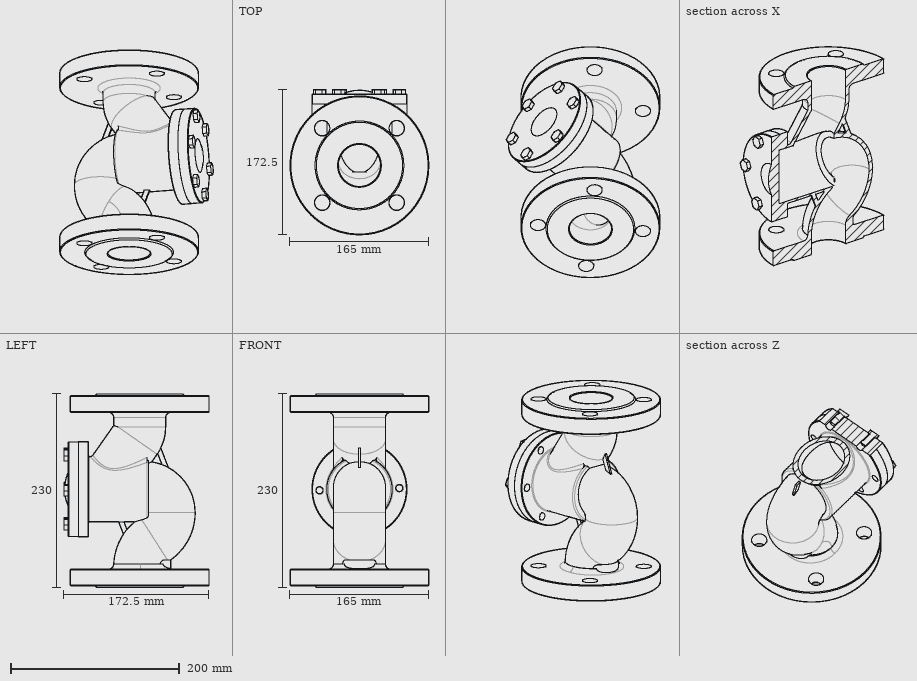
import cadquery as cq
import math


face_to_face = 230.0
flange_dia = 165.0
flange_thickness = 20.0
flange_chamfer = 1.0
raised_height = 2.0
raised_base_dia = 105.5
raised_top_dia = 102.5
pipe_hole_dia = 18.0
pipe_hole_circle = 125.0
flange_inner_z = face_to_face / 2 - raised_height - flange_thickness

pipe_radius = 31.0
bore_radius = 25.0
bore_mouth_chamfer = 1.0
base_fillet = 6.0

neck_end_z = 75.8
branch_angle = 35.0
branch_bend = 25.7
branch_length = 62.0
branch_bore_length = 75.0

chamber_z = 1.8
chamber_radius = 38.8
chamber_front_y = -10.2
chamber_front_fillet = 1.8
chamber_back_fillet = 1.0
branch_fillet = 3.8
cavity_radius = 35.0
cavity_front_y = -8.0

bonnet_back_y = 85.0
bonnet_joint_y = 72.75
bonnet_front_y = 60.5
bonnet_dia = 113.0
cover_dia = 112.75
bonnet_chamfer = 0.8
dome_radius = 20.0
dome_height = 4.4

bolt_count = 6
bolt_circle_radius = 47.4
bolt_turn = 1.6
bolt_dia = 8.0
bolt_hole_dia = 8.75
bolt_head_dia = 15.0
bolt_head_height = 5.0
bolt_head_turn = 8.0
bolt_tip_y = 68.0

crown_bend = 30.0
swan_start_y = 0.0
crown_z = 4.0
swan_bend = 38.0
outer_y = -35.0

rib_thickness = 2.5
rib_width = 6.5
rib_lean = 21.0
upper_rib_front_y = -25.1
upper_rib_z = 51.0
upper_rib_span = (22.0, 55.0)
lower_rib_back_y = 25.1
lower_rib_z = -36.8
lower_rib_span = (-55.0, -34.0)

filler_front_y = -37.0
filler_radius = 22.0
filler_flare_shift = -2.5
filler_top_z = -82.0


def y_cylinder(radius, y_start, y_end, z):
    """Solid cylinder along Y at X = 0."""
    return cq.Workplane("XZ", origin=(0, y_start, z)).circle(radius).extrude(y_start - y_end)


def pipe_flange(side):
    """Flange with raised face; side is +1 for the upper and -1 for the lower one."""
    plane = cq.Plane((0, 0, side * flange_inner_z), (1, 0, 0), (0, 0, side))
    disc = cq.Workplane(plane).circle(flange_dia / 2).extrude(flange_thickness)
    disc = disc.edges().chamfer(flange_chamfer)
    raised_taper = math.degrees(math.atan2((raised_base_dia - raised_top_dia) / 2, raised_height))
    raised = (
        cq.Workplane(plane)
        .workplane(offset=flange_thickness)
        .circle(raised_base_dia / 2)
        .extrude(raised_height, taper=raised_taper)
    )
    holes = (
        cq.Workplane(plane)
        .polarArray(pipe_hole_circle / 2, 45, 360, 4)
        .circle(pipe_hole_dia / 2)
        .extrude(flange_thickness)
    )
    return disc.union(raised).cut(holes)


def flare(plane, pipe, fillet):
    """Concave fillet ring around a pipe standing on the plane, solid inside the pipe radius."""
    bow = fillet * (1 - math.sqrt(0.5))
    profile_plane = cq.Plane(plane.origin, plane.xDir, -plane.yDir)
    return (
        cq.Workplane(profile_plane)
        .lineTo(pipe + fillet, 0)
        .threePointArc((pipe + bow, bow), (pipe, fillet))
        .lineTo(0, fillet)
        .close()
        .revolve(360, (0, 0, 0), (0, 1, 0))
    )


def base_flare(side):
    """Fillet between a pipe and the inner face of its flange."""
    plane = cq.Plane((0, 0, side * flange_inner_z), (1, 0, 0), (0, 0, -side))
    return flare(plane, pipe_radius, base_fillet)


def branch(radius, length, z_top):
    """Vertical neck, elbow towards +Y and inclined tube of one radius."""
    lean = math.radians(branch_angle)
    neck = cq.Workplane("XY", origin=(0, 0, neck_end_z)).circle(radius).extrude(z_top - neck_end_z)
    reach = min(radius, branch_bend)
    half_chord = math.sqrt(radius**2 - reach**2)
    section = cq.Workplane("XY", origin=(0, 0, neck_end_z))
    if half_chord > 0:
        section = (
            section.moveTo(-half_chord, reach)
            .threePointArc((0, -radius), (half_chord, reach))
            .close()
        )
    else:
        section = section.circle(radius)
    elbow = section.revolve(branch_angle, (0, branch_bend, 0), (1, branch_bend, 0))
    end_y = branch_bend * (1 - math.cos(lean))
    end_z = neck_end_z - branch_bend * math.sin(lean)
    plane = cq.Plane((0, end_y, end_z), (1, 0, 0), (0, math.sin(lean), -math.cos(lean)))
    tube = cq.Workplane(plane).circle(radius).extrude(length)
    return neck.union(elbow).union(tube)


def swan_neck(radius, z_bottom):
    """Three tangent arcs from the chamber, round the front, and down to the lower flange."""
    lower_y = -swan_bend
    belly_y = outer_y + swan_bend
    belly_z = crown_z - crown_bend
    half_turn = math.acos((belly_y - lower_y) / (2 * swan_bend))
    lower_z = belly_z - 2 * swan_bend * math.sin(half_turn)
    crown_y = outer_y + crown_bend

    def on_arc(center_y, center_z, bend, angle):
        return (center_y + bend * math.cos(angle), center_z + bend * math.sin(angle))

    crown_mid = on_arc(crown_y, belly_z, crown_bend, 0.75 * math.pi)
    belly_mid = on_arc(belly_y, belly_z, swan_bend, math.pi + half_turn / 2)
    belly_end = on_arc(belly_y, belly_z, swan_bend, math.pi + half_turn)
    lower_mid = on_arc(lower_y, lower_z, swan_bend, half_turn / 2)
    path = (
        cq.Workplane("YZ")
        .moveTo(swan_start_y, crown_z)
        .lineTo(crown_y, crown_z)
        .threePointArc(crown_mid, (outer_y, belly_z))
        .threePointArc(belly_mid, belly_end)
        .threePointArc(lower_mid, (0, lower_z))
        .lineTo(0, z_bottom)
    )
    return cq.Workplane("XZ", origin=(0, swan_start_y, crown_z)).circle(radius).sweep(path)


def chamber_with_branch():
    """Outer chamber wall joined to the upper branch, with the joint and the front edge rounded."""
    upper_branch = branch(pipe_radius, branch_length, flange_inner_z)
    long_wall = y_cylinder(chamber_radius, -pipe_radius, bonnet_joint_y, chamber_z)
    joint = cq.selectors.BoxSelector(
        (-chamber_radius, -pipe_radius + 1, chamber_z + 10),
        (chamber_radius, bonnet_joint_y - 1, chamber_z + chamber_radius + 1),
    )
    rounded_joint = long_wall.union(upper_branch).edges(joint).edges("%BSPLINE").fillet(branch_fillet)
    front_end = y_cylinder(chamber_radius, chamber_front_y, bonnet_joint_y, chamber_z)
    front_end = front_end.faces("<Y").edges().fillet(chamber_front_fillet)
    behind_edge = y_cylinder(
        bonnet_dia, chamber_front_y + chamber_front_fillet, bonnet_joint_y, chamber_z
    )
    return rounded_joint.intersect(front_end.union(behind_edge)).union(upper_branch)


def bonnet():
    """Chamber flange, cover and domed centre, ringed by the bolt holes."""
    flange = y_cylinder(bonnet_dia / 2, bonnet_front_y, bonnet_joint_y, chamber_z)
    flange = flange.faces("<Y").edges().chamfer(bonnet_chamfer)
    cover = y_cylinder(cover_dia / 2, bonnet_joint_y, bonnet_back_y, chamber_z)
    cover = cover.faces(">Y").edges().chamfer(bonnet_chamfer)
    dome_top_y = bonnet_back_y + dome_height
    dome = (
        cq.Workplane("XY", origin=(0, 0, chamber_z))
        .moveTo(0, bonnet_back_y)
        .lineTo(dome_radius, bonnet_back_y)
        .radiusArc((0, dome_top_y), -(dome_radius**2 + dome_height**2) / (2 * dome_height))
        .close()
        .revolve(360, (0, 0, 0), (0, 1, 0))
    )
    return flange.union(cover).union(dome)


def bolt_positions():
    """X and Z of the bolt centres."""
    positions = []
    for index in range(bolt_count):
        angle = math.radians(bolt_turn + index * 360 / bolt_count)
        x = bolt_circle_radius * math.cos(angle)
        z = chamber_z + bolt_circle_radius * math.sin(angle)
        positions.append((x, z))
    return positions


def rib(edge_y, edge_z, span, width):
    """Leaning strip in the X = 0 plane; its outer edge passes (edge_y, edge_z), width may be negative."""
    slope = math.tan(math.radians(rib_lean))
    bottom_z, top_z = span
    bottom_y = edge_y + slope * (bottom_z - edge_z)
    top_y = edge_y + slope * (top_z - edge_z)
    corners = [
        (bottom_y, bottom_z),
        (bottom_y + width, bottom_z),
        (top_y + width, top_z),
        (top_y, top_z),
    ]
    return cq.Workplane("YZ").polyline(corners).close().extrude(rib_thickness / 2, both=True)


def crook_filler():
    """Upright stub with a flared foot that fills the crook between lower elbow and flange."""
    height = filler_top_z + flange_inner_z
    stub = cq.Workplane("XY", origin=(0, filler_front_y + filler_radius, -flange_inner_z))
    stub = stub.circle(filler_radius).extrude(height)
    return stub.union(base_flare(-1).translate((0, filler_flare_shift, 0)))


def mouth_chamfer(side):
    """Cone that bevels the bore at a sealing face."""
    plane = cq.Plane((0, 0, side * face_to_face / 2), (1, 0, 0), (0, 0, -side))
    mouth = cq.Workplane(plane).circle(bore_radius + bore_mouth_chamfer)
    return mouth.extrude(bore_mouth_chamfer, taper=45)


def passages():
    """Bores of both pipe runs with bevelled mouths, and the chamber cavity."""
    end_z = face_to_face / 2
    upper = branch(bore_radius, branch_bore_length, end_z)
    lower = swan_neck(bore_radius, -end_z)
    cavity = y_cylinder(cavity_radius, cavity_front_y, bonnet_joint_y, chamber_z)
    return upper.union(lower).union(cavity).union(mouth_chamfer(1)).union(mouth_chamfer(-1))


def valve_body():
    """Casting with pipe flanges, chamber, cover and passages."""
    casing = chamber_with_branch()
    casing = casing.union(swan_neck(pipe_radius, -flange_inner_z))
    casing = casing.union(rib(upper_rib_front_y, upper_rib_z, upper_rib_span, rib_width))
    casing = casing.union(rib(lower_rib_back_y, lower_rib_z, lower_rib_span, -rib_width))
    casing = casing.union(crook_filler()).union(bonnet())
    bonnet_face = cq.Plane((0, bonnet_front_y, chamber_z), (1, 0, 0), (0, -1, 0))
    casing = casing.union(flare(bonnet_face, chamber_radius, chamber_back_fillet))
    for side in (1, -1):
        casing = casing.union(base_flare(side)).union(pipe_flange(side))
    holes = (
        cq.Workplane("XZ", origin=(0, bonnet_front_y, 0))
        .pushPoints(bolt_positions())
        .circle(bolt_hole_dia / 2)
        .extrude(bonnet_front_y - bonnet_back_y)
    )
    return casing.cut(passages()).cut(holes)


def bolt(x, z):
    """Hexagon-head bolt with its shank pointing towards -Y."""
    seat = cq.Workplane("XZ", origin=(x, bonnet_back_y, z))
    turned_seat = seat.transformed(rotate=(0, 0, bolt_head_turn))
    head = turned_seat.polygon(6, bolt_head_dia).extrude(-bolt_head_height)
    shank = seat.circle(bolt_dia / 2).extrude(bonnet_back_y - bolt_tip_y)
    return head.union(shank)


body = valve_body()
bolts = [bolt(x, z) for x, z in bolt_positions()]
result = cq.Compound.makeCompound([body.val(), *[item.val() for item in bolts]])